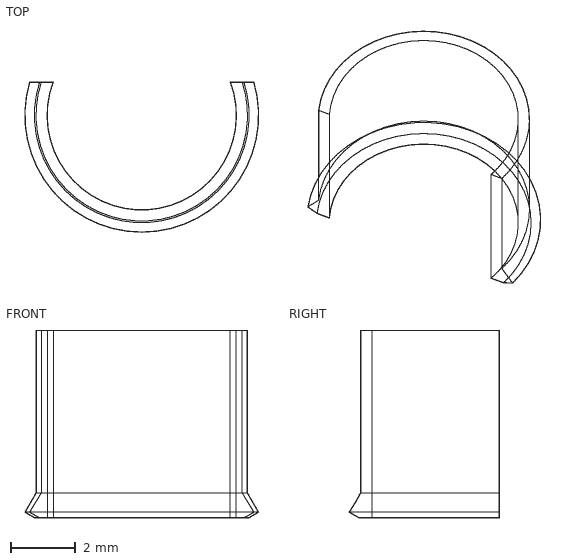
import cadquery as cq

lip_radius = 3.62
wall_radius = 3.27
bore_radius = 2.925
base_radius = 3.32
height = 5.8
lip_height = 0.175
flare_height = 0.775
opening_y = 1.03

section = [
    (bore_radius, 0),
    (base_radius, 0),
    (lip_radius, lip_height),
    (wall_radius, flare_height),
    (wall_radius, height),
    (bore_radius, height),
]
sleeve = cq.Workplane("XZ").polyline(section).close().revolve(360, (0, 0), (0, 1))

kept_side = (
    cq.Workplane("XY")
    .box(2 * lip_radius, lip_radius + opening_y, height, centered=(True, False, False))
    .translate((0, -lip_radius, 0))
)

result = sleeve.intersect(kept_side)